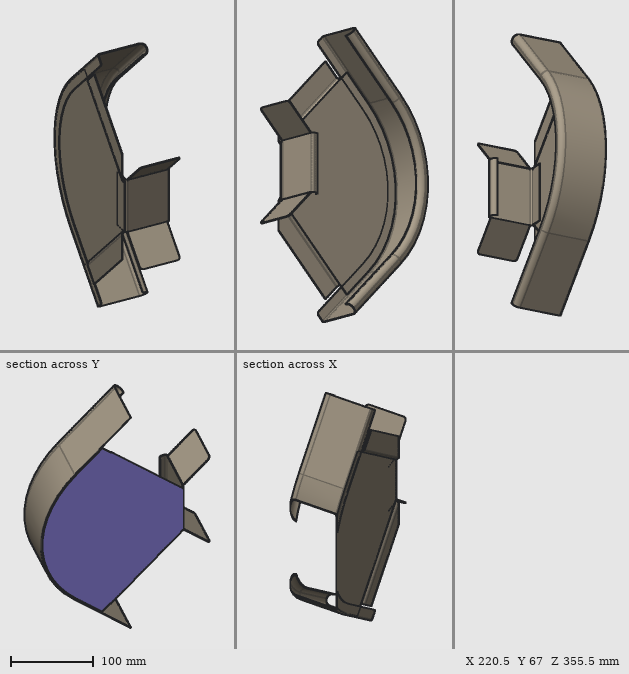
import cadquery as cq
import math


TOTAL_HEIGHT = 355.5
TOTAL_DEPTH = 67.0
SHEET = 1.25
BEND_RADIUS = 149.5
BEND_ANGLE = 90.0

RAIL_BOTTOM = 2.0
FLANGE_WIDTH = 14.2
FLANGE_BEND = 2.5
FLANGE_CORNER_RADIUS = 3.5
LIP_WIDTH = 16.5
LIP_RADIUS = 8.0
LIP_DROP = 9.0

PLATE_SIDE_X = 35.5
STEP_START = 48.5
STEP_ANGLE = 45.0
STEP_BEND = 1.8
JOINT_END = 77.2
JOINT_SIDE = 131.5

INNER_FACE_X = 36.3
INNER_TOP = 65.0
INNER_HALF_LENGTH = 37.0
INNER_FLANGE_WIDTH = 21.5
INNER_LIP_WIDTH = 12.0
INNER_LIP_RADIUS = 6.5
INNER_LIP_DROP = 7.0
INNER_CORNER_RADIUS = 3.2
TAB_BOTTOM = 7.5
TAB_TOP = 61.5
TAB_REACH_X = 71.0
TAB_CORNER_RADIUS = 4.3

HALF_ANGLE = BEND_ANGLE / 2
STRAIGHT_LENGTH = TOTAL_HEIGHT / 2 / math.sin(math.radians(HALF_ANGLE)) - BEND_RADIUS
PLATE_BOTTOM = RAIL_BOTTOM + SHEET
PLATE_TOP = PLATE_BOTTOM + SHEET
PLATE_RADIUS = BEND_RADIUS - FLANGE_BEND


def arc_middle(center, radius, degrees):
    """Point on a circle at the given angle, used as the middle of an arc."""
    angle = math.radians(degrees)
    return (center[0] + radius * math.cos(angle), center[1] + radius * math.sin(angle))


def rail_profile(plane, face, bottom, top, flange, foot_r, shoulder_r, lip, lip_r, drop):
    """Sheet section of a rail: flange, wall and curled lip, drawn as an outline.

    The plane's first axis points outward and its second along +Y. The wall's outer side is at
    `face`. The flange and the lip both reach inward, by `flange` and `lip`.
    """
    inner_face = face - SHEET
    foot = (face - foot_r, bottom + foot_r)
    shoulder = (face - shoulder_r, top - shoulder_r)
    curl = (face - lip + lip_r, top - lip_r)
    lip_outside = face - lip
    lip_inside = lip_outside + SHEET
    return (
        plane.moveTo(face - flange, bottom)
        .lineTo(foot[0], bottom)
        .threePointArc(arc_middle(foot, foot_r, -45), (face, foot[1]))
        .lineTo(face, shoulder[1])
        .threePointArc(arc_middle(shoulder, shoulder_r, 45), (shoulder[0], top))
        .lineTo(curl[0], top)
        .threePointArc(arc_middle(curl, lip_r, 135), (lip_outside, curl[1]))
        .lineTo(lip_outside, top - drop)
        .lineTo(lip_inside, top - drop)
        .lineTo(lip_inside, curl[1])
        .threePointArc(arc_middle(curl, lip_r - SHEET, 135), (curl[0], top - SHEET))
        .lineTo(shoulder[0], top - SHEET)
        .threePointArc(arc_middle(shoulder, shoulder_r - SHEET, 45), (inner_face, shoulder[1]))
        .lineTo(inner_face, foot[1])
        .threePointArc(arc_middle(foot, foot_r - SHEET, -45), (foot[0], bottom + SHEET))
        .lineTo(face - flange, bottom + SHEET)
        .close()
    )


def at_upper_end(shape):
    """Turn a shape with its length along +Z and its outer side at -X to the tray's upper end."""
    return shape.rotate((0, 0, 0), (0, 1, 0), HALF_ANGLE)


def mirrored(shape):
    """Copy of an upper-end shape at the lower end."""
    return shape.mirror("XY")


def section_plane():
    """Plane across the rail: first axis outward along -X, second axis along +Y."""
    return cq.Workplane(cq.Plane(origin=(0, 0, 0), xDir=(-1, 0, 0), normal=(0, 0, -1)))


def outer_section():
    """Outline of the outer rail's section, where the arc meets the straight run."""
    return rail_profile(
        section_plane(), BEND_RADIUS, RAIL_BOTTOM, TOTAL_DEPTH,
        FLANGE_WIDTH, FLANGE_BEND, LIP_RADIUS, LIP_WIDTH, LIP_RADIUS, LIP_DROP,
    )


def make_outer_rail():
    """Rail around the outside of the bend: an arc with a straight run at each end."""
    arc = outer_section().revolve(BEND_ANGLE, (0, 0, 0), (0, 1, 0))
    arc = arc.rotate((0, 0, 0), (0, 1, 0), -HALF_ANGLE)
    run = at_upper_end(make_straight_run())
    return arc.union(run).union(mirrored(run))


def make_straight_run():
    """Straight run along +Z from the end of the arc, with the flange's free corner rounded."""
    run = outer_section().extrude(-STRAIGHT_LENGTH)
    corner = cq.selectors.NearestToPointSelector(
        (FLANGE_WIDTH - BEND_RADIUS, RAIL_BOTTOM + SHEET / 2, STRAIGHT_LENGTH)
    )
    return run.edges("|Y").edges(corner).fillet(FLANGE_CORNER_RADIUS)


def make_base_plate():
    """Flat plate inside the outer rail, with a stepped-down joint flange at each end."""
    half = math.radians(HALF_ANGLE)
    side_z = STEP_START / math.sin(half) - PLATE_SIDE_X
    corner_x = STEP_START * math.sin(half) - PLATE_RADIUS * math.cos(half)
    corner_z = STEP_START * math.cos(half) + PLATE_RADIUS * math.sin(half)
    tangent_x = -PLATE_RADIUS * math.cos(half)
    tangent_z = PLATE_RADIUS * math.sin(half)
    plate = (
        cq.Workplane("XZ", origin=(0, PLATE_TOP, 0))
        .moveTo(PLATE_SIDE_X, side_z)
        .lineTo(corner_x, corner_z)
        .lineTo(tangent_x, tangent_z)
        .threePointArc((-PLATE_RADIUS, 0), (tangent_x, -tangent_z))
        .lineTo(corner_x, -corner_z)
        .lineTo(PLATE_SIDE_X, -side_z)
        .close()
        .extrude(SHEET)
    )
    joint = make_joint_flange()
    return plate.union(joint).union(mirrored(joint))


def make_joint_flange():
    """Step and joint flange at the upper end, trimmed flush with the plate's inner side."""
    bend_shift = SHEET * math.tan(math.radians(STEP_ANGLE / 2))
    step_end = STEP_START + PLATE_BOTTOM / math.tan(math.radians(STEP_ANGLE))
    strip = (
        cq.Workplane("YZ", origin=(-JOINT_SIDE, 0, 0))
        .moveTo(PLATE_BOTTOM, STEP_START)
        .lineTo(0, step_end)
        .lineTo(0, JOINT_END)
        .lineTo(SHEET, JOINT_END)
        .lineTo(SHEET, step_end + bend_shift)
        .lineTo(PLATE_TOP, STEP_START + bend_shift)
        .lineTo(PLATE_TOP, STEP_START)
        .close()
        .extrude(2 * JOINT_SIDE)
    )
    outside_bend = cq.selectors.NearestToPointSelector((0, 0, step_end))
    inside_bend = cq.selectors.NearestToPointSelector((0, SHEET, step_end + bend_shift))
    strip = strip.edges("|X").edges(outside_bend).fillet(STEP_BEND)
    strip = strip.edges("|X").edges(inside_bend).fillet(STEP_BEND - SHEET)
    beyond_side = cq.Workplane("YZ", origin=(PLATE_SIDE_X, 0, 0)).rect(TOTAL_DEPTH, TOTAL_HEIGHT)
    return at_upper_end(strip).cut(beyond_side.extrude(2 * JOINT_SIDE))


def make_inner_rail():
    """Straight rail across the inside of the bend, with a joining tab at each end."""
    plane = cq.Workplane(cq.Plane(origin=(0, 0, -INNER_HALF_LENGTH), xDir=(1, 0, 0), normal=(0, 0, 1)))
    rail = rail_profile(
        plane, INNER_FACE_X, PLATE_TOP, INNER_TOP,
        INNER_FLANGE_WIDTH, INNER_CORNER_RADIUS, INNER_CORNER_RADIUS,
        INNER_LIP_WIDTH, INNER_LIP_RADIUS, INNER_LIP_DROP,
    ).extrude(2 * INNER_HALF_LENGTH)
    tab = make_tab()
    return rail.union(tab).union(mirrored(tab))


def make_tab():
    """Tab bent 45 degrees outward from the upper end of the inner wall, with rounded far corners."""
    half = math.radians(HALF_ANGLE)
    inner_face = INNER_FACE_X - SHEET
    outside_bend_z = INNER_HALF_LENGTH - SHEET * math.tan(half / 2)
    root_z = INNER_HALF_LENGTH - SHEET
    tip_z = outside_bend_z + (TAB_REACH_X - INNER_FACE_X) / math.tan(half)
    tab = (
        cq.Workplane("XZ", origin=(0, TAB_BOTTOM, 0))
        .moveTo(INNER_FACE_X, outside_bend_z)
        .lineTo(TAB_REACH_X, tip_z)
        .lineTo(TAB_REACH_X - SHEET * math.cos(half), tip_z + SHEET * math.sin(half))
        .lineTo(inner_face, INNER_HALF_LENGTH)
        .lineTo(inner_face, root_z)
        .lineTo(INNER_FACE_X, root_z)
        .close()
        .extrude(TAB_BOTTOM - TAB_TOP)
    )
    tip_face = tab.faces(cq.selectors.DirectionMinMaxSelector(cq.Vector(1, 0, 1)))
    corners = tip_face.edges(cq.selectors.ParallelDirSelector(cq.Vector(-1, 0, 1)))
    return corners.fillet(TAB_CORNER_RADIUS)


outer_rail = make_outer_rail()
base_plate = make_base_plate()
inner_rail = make_inner_rail()

result = cq.Compound.makeCompound([outer_rail.val(), base_plate.val(), inner_rail.val()])